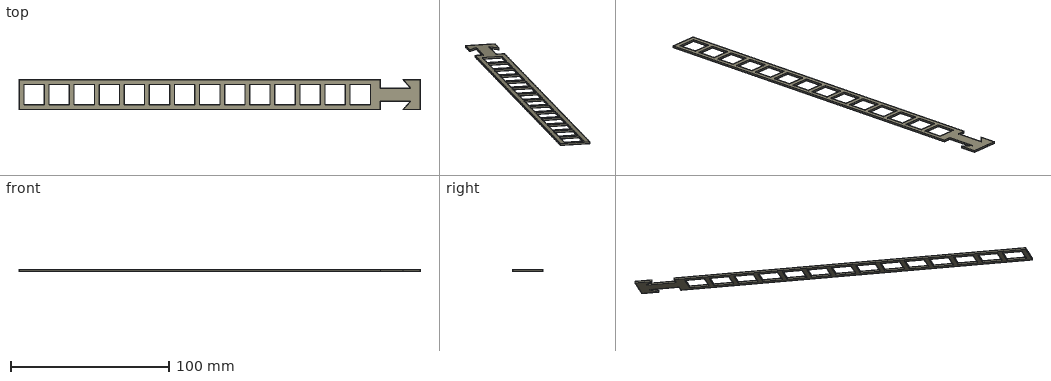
import cadquery as cq

length = 254.0
width = 19.05
thickness = 1.19

window_count = 14
window_size = 12.7
rail_width = (width - window_size) / 2
window_pitch = window_size + rail_width
end_margin = 6.35

neck_width = 8.4
head_length = 6.35
barb_length = 4.76

ladder_end = window_count * window_pitch + end_margin
barb_root = length - head_length
barb_tip = barb_root - barb_length


def make_strip():
    """Flat strip with a narrow neck and a head with swept-back barbs."""
    upper_edge = [
        (0, width / 2),
        (ladder_end, width / 2),
        (ladder_end, neck_width / 2),
        (barb_root, neck_width / 2),
        (barb_tip, width / 2),
        (length, width / 2),
    ]
    lower_edge = [(x, -y) for x, y in reversed(upper_edge)]
    return cq.Workplane("XY").polyline(upper_edge + lower_edge).close().extrude(thickness)


def make_windows():
    """Row of square through-cutters, one rail width apart."""
    first_center = rail_width + window_size / 2
    centers = [(first_center + i * window_pitch, 0) for i in range(window_count)]
    return (
        cq.Workplane("XY")
        .pushPoints(centers)
        .rect(window_size, window_size)
        .extrude(thickness)
    )


result = make_strip().cut(make_windows())